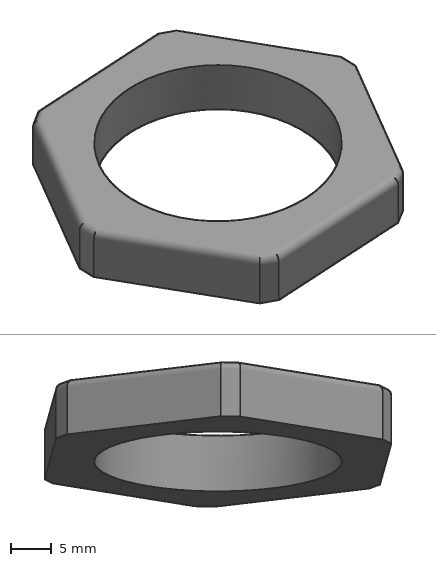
import cadquery as cq
import math

ACROSS_FLATS = 41.0
ACROSS_CORNERS = 45.94
THICKNESS = 7.0
BORE_DIAMETER = 30.2
TOP_EDGE_RADIUS = 1.0

SIDES = 6
HALF_SIDE_ANGLE = math.degrees(math.pi / SIDES)
CORNER_ANGLE = 90.0


def hexagonal_prism(across_flats, flat_angle):
    """Hexagonal prism on the XY plane with one side facing flat_angle degrees."""
    sharp_diameter = across_flats / math.cos(math.pi / SIDES)
    return (
        cq.Workplane("XY")
        .polygon(SIDES, sharp_diameter)
        .extrude(THICKNESS)
        .rotate((0, 0, 0), (0, 0, 1), flat_angle - HALF_SIDE_ANGLE)
    )


def nut_blank():
    """Hexagon whose corners are trimmed flat by a second hexagon turned by half a side."""
    main_hexagon = hexagonal_prism(ACROSS_FLATS, CORNER_ANGLE - HALF_SIDE_ANGLE)
    corner_trim = hexagonal_prism(ACROSS_CORNERS, CORNER_ANGLE)
    return main_hexagon.intersect(corner_trim)


def round_top_edge(body):
    """Round the outer rim of the top face."""
    return body.faces(">Z").edges().fillet(TOP_EDGE_RADIUS)


def cut_bore(body):
    """Cut the plain through bore on the part axis."""
    return body.faces("<Z").workplane(origin=(0, 0, 0)).circle(BORE_DIAMETER / 2).cutThruAll()


result = cut_bore(round_top_edge(nut_blank()))